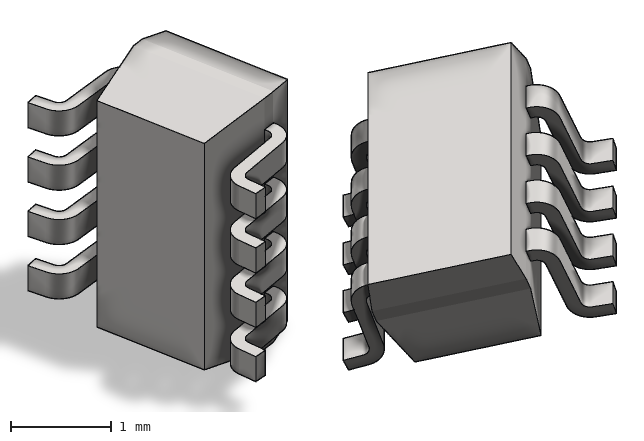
import cadquery as cq
import math


housing_width = 1.6
housing_length = 3.0
package_height = 1.45
standoff = 0.15
draft_angle = 10.0

lead_thickness = 0.15
lead_width = 0.3
lead_pitch = 0.65
leads_per_side = 4
lead_span = 2.8
lead_top = 1.125
shoulder_length = 0.035
inner_radius = 0.095
outer_radius = inner_radius + lead_thickness
middle_radius = (inner_radius + outer_radius) / 2
shank_tilt = math.radians(1.75)
foot_tilt = math.radians(4.0)

lead_bottom = lead_top - lead_thickness


def horizontal_rectangle(height):
    """Full-size housing rectangle at the given height, facing +Y."""
    plane = cq.Plane(origin=(0, height, 0), xDir=(1, 0, 0), normal=(0, 1, 0))
    return cq.Workplane(plane).rect(housing_width, housing_length)


def make_housing():
    """Straight band at lead height with a drafted block above and below it."""
    band = horizontal_rectangle(lead_bottom).extrude(lead_thickness)
    upper = horizontal_rectangle(lead_top).extrude(package_height - lead_top, taper=draft_angle)
    lower = horizontal_rectangle(lead_bottom).extrude(standoff - lead_bottom, taper=draft_angle)
    return band.union(upper).union(lower)


def step(point, distance, angle):
    """Point reached by moving a distance in the direction of an angle in the XY plane."""
    return (point[0] + distance * math.cos(angle), point[1] + distance * math.sin(angle))


def make_lead():
    """Gull-wing lead on the +X side, centred on Z = 0."""
    root_x = housing_width / 2
    up = math.pi / 2
    down = -math.pi / 2
    shank_normal = shank_tilt
    shank_direction = shank_tilt + down
    foot_direction = -foot_tilt
    foot_normal = foot_direction + up

    upper_centre = (root_x + shoulder_length, lead_top - outer_radius)
    tip_middle = (
        lead_span / 2 - lead_thickness / 2 * math.sin(foot_tilt),
        lead_thickness / 2 * math.cos(foot_tilt),
    )

    shank_free_tip = step(step(upper_centre, 2 * middle_radius, shank_normal), -middle_radius, foot_normal)
    rise = tip_middle[1] - shank_free_tip[1]
    run = tip_middle[0] - shank_free_tip[0]
    drop_across_foot = -(run * math.sin(foot_tilt) + rise * math.cos(foot_tilt))
    shank_length = drop_across_foot / math.cos(shank_tilt + foot_tilt)

    shank_foot = step(upper_centre, shank_length, shank_direction)
    lower_centre = step(shank_foot, 2 * middle_radius, shank_normal)

    upper_mid = (up + shank_normal) / 2
    lower_start = shank_normal + math.pi
    lower_end = foot_normal + math.pi
    lower_mid = (lower_start + lower_end) / 2

    profile = (
        cq.Workplane("XY")
        .moveTo(root_x, lead_top)
        .lineTo(*step(upper_centre, outer_radius, up))
        .threePointArc(
            step(upper_centre, outer_radius, upper_mid),
            step(upper_centre, outer_radius, shank_normal),
        )
        .lineTo(*step(lower_centre, inner_radius, lower_start))
        .threePointArc(
            step(lower_centre, inner_radius, lower_mid),
            step(lower_centre, inner_radius, lower_end),
        )
        .lineTo(*step(tip_middle, lead_thickness / 2, foot_normal))
        .lineTo(*step(tip_middle, -lead_thickness / 2, foot_normal))
        .lineTo(*step(lower_centre, outer_radius, lower_end))
        .threePointArc(
            step(lower_centre, outer_radius, lower_mid),
            step(lower_centre, outer_radius, lower_start),
        )
        .lineTo(*step(upper_centre, inner_radius, shank_normal))
        .threePointArc(
            step(upper_centre, inner_radius, upper_mid),
            step(upper_centre, inner_radius, up),
        )
        .lineTo(root_x, lead_bottom)
        .close()
    )
    return profile.extrude(lead_width / 2, both=True)


housing = make_housing()

leads = []
for index in range(leads_per_side):
    lead_z = (index - (leads_per_side - 1) / 2) * lead_pitch
    right_lead = make_lead().translate((0, 0, lead_z))
    left_lead = right_lead.mirror("YZ")
    leads += [right_lead.val(), left_lead.val()]

result = cq.Compound.makeCompound([housing.val(), *leads])